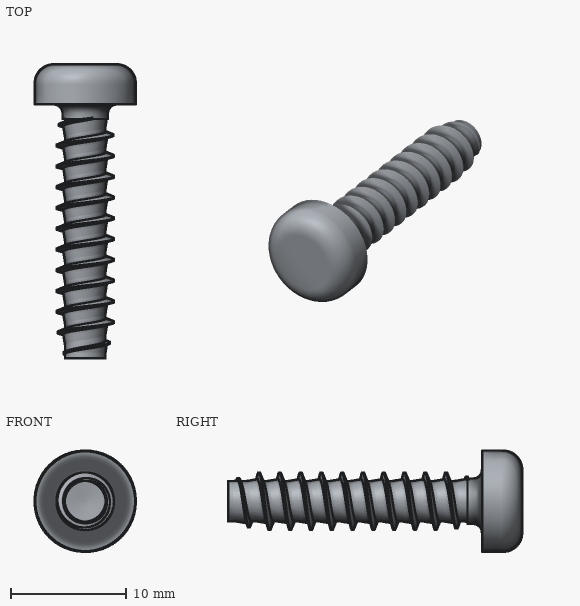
import cadquery as cq
import math

length = 25.5

head_diameter = 8.8
head_height = 3.52
dome_radius = 1.7
bearing_edge_chamfer = 0.08

neck_radius = 2.0
neck_length = 1.22
neck_fillet = 0.7

core_radius = 1.75
tip_dish_depth = 0.15
tip_dish_radius = 1.63
tip_allowance = 2.05

thread_length = 20.52
thread_start_turn = 0.2
thread_end_turn = 11.6
pitch = thread_length / (thread_end_turn - thread_start_turn)
crest_radius = 2.5
crest_half_width = 0.038
head_side_foot = 0.35
tip_side_foot = 0.23
first_crest_depth = 0.85
thread_root_radius = 1.65

ramp_radius = 1.94
ramp_end = 1.25
ramp_end_radius = 1.73
ramp_root_radius = 1.55

thread_stations = [
    (thread_start_turn, 0.4),
    (0.4, 0.23),
    (1.2, 0.0),
    (10.3, 0.0),
    (thread_end_turn, 0.65),
]
ramp_stations = [(-1.0, 0.0), (10.9, 0.0), (thread_end_turn, 0.23)]

points_per_turn = 16
shank_length = length - head_height


def helix_point(turn, offset, radius):
    angle = 2 * math.pi * turn
    depth = first_crest_depth + pitch * turn + offset
    return cq.Vector(radius * math.cos(angle), -depth, radius * math.sin(angle))


def between(start, end, part):
    """Station at a fraction of the way from one station to another."""
    return tuple(a + part * (b - a) for a, b in zip(start, end))


def helix_edge(start, end, offset, radius):
    """Right-hand helix between two stations, its radius changing evenly by their sinks."""
    steps = math.ceil((end[0] - start[0]) * points_per_turn)
    points = []
    for i in range(steps + 1):
        turn, sink = between(start, end, i / steps)
        points.append(helix_point(turn, offset, radius - sink))
    return cq.Edge.makeSpline(points)


def end_cap(station, profile):
    turn, sink = station
    corners = [helix_point(turn, offset, radius - sink) for offset, radius in profile]
    return cq.Face.makeFromWires(cq.Wire.makePolygon(corners, close=True))


def split_into_turns(stations):
    """Add stations so that no stretch of helix is longer than one turn."""
    short_stations = []
    for start, end in zip(stations, stations[1:]):
        count = math.ceil(end[0] - start[0])
        for i in range(count):
            short_stations.append(between(start, end, i / count))
    return short_stations + [stations[-1]]


def helical_ridge(profile, stations):
    """Solid that follows the helix with a polygonal (offset, radius) profile."""
    faces = [end_cap(stations[0], profile), end_cap(stations[-1], profile)]
    short_stations = split_into_turns(stations)
    for start, end in zip(short_stations, short_stations[1:]):
        edges = [helix_edge(start, end, offset, radius) for offset, radius in profile]
        for edge, next_edge in zip(edges, edges[1:] + edges[:1]):
            faces.append(cq.Face.makeRuledSurface(edge, next_edge))
    return cq.Solid.makeSolid(cq.Shell.makeShell(faces))


def screw_blank():
    """Head, neck and core revolved as one profile."""
    head_radius = head_diameter / 2
    dome_middle = dome_radius * (1 - math.sqrt(0.5))
    fillet_middle = neck_fillet * (1 - math.sqrt(0.5))
    return (
        cq.Workplane("XY")
        .moveTo(0, head_height)
        .lineTo(head_radius - dome_radius, head_height)
        .threePointArc(
            (head_radius - dome_middle, head_height - dome_middle),
            (head_radius, head_height - dome_radius),
        )
        .lineTo(head_radius, bearing_edge_chamfer)
        .lineTo(head_radius - bearing_edge_chamfer, 0)
        .lineTo(neck_radius + neck_fillet, 0)
        .threePointArc(
            (neck_radius + fillet_middle, -fillet_middle),
            (neck_radius, -neck_fillet),
        )
        .lineTo(neck_radius, -neck_length)
        .lineTo(core_radius, -neck_length)
        .lineTo(core_radius, -shank_length - tip_allowance)
        .lineTo(0, -shank_length - tip_allowance)
        .close()
        .revolve(360, (0, 0, 0), (0, 1, 0))
    )


def tip_trim():
    """Everything beyond the tip, with a shallow cone that leaves the dish in the end face."""
    trim_radius = 2 * core_radius
    trim_end = -shank_length - 2 * tip_allowance
    return (
        cq.Workplane("XY")
        .moveTo(0, tip_dish_depth - shank_length)
        .lineTo(tip_dish_radius, -shank_length)
        .lineTo(trim_radius, -shank_length)
        .lineTo(trim_radius, trim_end)
        .lineTo(0, trim_end)
        .close()
        .revolve(360, (0, 0, 0), (0, 1, 0))
    )


thread_profile = [
    (-head_side_foot, thread_root_radius),
    (-crest_half_width, crest_radius),
    (crest_half_width, crest_radius),
    (tip_side_foot, thread_root_radius),
]
ramp_profile = [
    (0, ramp_root_radius),
    (0, ramp_radius),
    (ramp_end, ramp_end_radius),
    (ramp_end, ramp_root_radius),
]

thread = helical_ridge(thread_profile, thread_stations)
ramp = helical_ridge(ramp_profile, ramp_stations)
result = screw_blank().union(ramp).union(thread).cut(tip_trim())